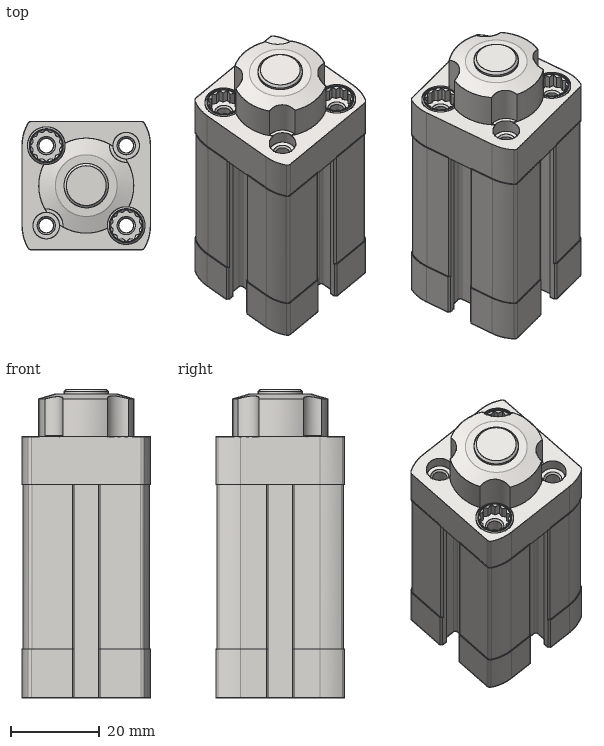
import cadquery as cq
import math

TOTAL_HEIGHT = 69.5
BASE_TOP = 11.0
HEAD_BOTTOM = 48.0
HEAD_TOP = 58.9
COLLAR_EDGE = 67.35
COLLAR_TOP = 68.45

OUTER_WIDTH = 29.0
TUBE_INSET = 0.2
CORNER_RADIUS = 10.0
CORNER_BLEND_RADIUS = 1.0

SLOT_MOUTH_WIDTH = 5.4
SLOT_CAVITY_WIDTH = 7.2
SLOT_LIP_DEPTH = 1.7
SLOT_DEPTH = 5.3
SLOT_FLOOR_RADIUS = 0.6
SLOT_LIP_RADIUS = 0.4

COLLAR_DIAMETER = 21.4
COLLAR_TOP_DIAMETER = 13.9
COUNTERBORE_RELIEF_DIAMETER = 7.5
RELIEF_LEDGE = 0.2

HOLE_EDGE_DISTANCE = 5.5
HOLE_OFFSET = OUTER_WIDTH / 2 - HOLE_EDGE_DISTANCE
BORE_DIAMETER = 3.3
BORE_CHAMFER_DIAMETER = 4.1
COUNTERBORE_DIAMETER = 6.0
COUNTERBORE_DEPTH = 3.05
COUNTERBORE_CORNERS = [(-1, -1), (1, 1)]
SCREW_CORNERS = [(-1, 1), (1, -1)]

SCREW_DIAMETER = 8.5
SCREW_EDGE_CHAMFER = 0.4
SOCKET_POINTS = 12
SOCKET_TIP_RADIUS = 3.6
SOCKET_ROOT_RADIUS = 3.05
SOCKET_DEPTH = 3.5
SOCKET_LEAD_IN_DEPTH = 0.35

ROD_DIAMETER = 10.0
ROD_TIP_DIAMETER = 9.0
ROD_BOTTOM = HEAD_BOTTOM


def outline_block(half_width, bottom, top):
    """Prism whose X-facing sides curve through a large arc and a small blend into the Y-facing sides."""
    arc_centre = OUTER_WIDTH / 2 - CORNER_RADIUS
    arc_radius = half_width - arc_centre
    arc_start_y = HOLE_OFFSET
    blend_y = half_width - CORNER_BLEND_RADIUS
    blend_angle = math.asin((blend_y - arc_start_y) / (arc_radius - CORNER_BLEND_RADIUS))
    blend_x = arc_centre + (arc_radius - CORNER_BLEND_RADIUS) * math.cos(blend_angle)

    def on_arc(angle):
        return (arc_centre + arc_radius * math.cos(angle), arc_start_y + arc_radius * math.sin(angle))

    def on_blend(angle):
        return (
            blend_x + CORNER_BLEND_RADIUS * math.cos(angle),
            blend_y + CORNER_BLEND_RADIUS * math.sin(angle),
        )

    quarter = (
        cq.Workplane("XY", origin=(0, 0, bottom))
        .lineTo(half_width, 0)
        .lineTo(half_width, arc_start_y)
        .threePointArc(on_arc(blend_angle / 2), on_arc(blend_angle))
        .threePointArc(on_blend((blend_angle + math.pi / 2) / 2), (blend_x, half_width))
        .lineTo(0, half_width)
        .close()
        .extrude(top - bottom)
    )
    half = quarter.union(quarter.mirror("YZ"))
    return half.union(half.mirror("XZ")).clean()


def slot_cutter(face, bottom, top):
    """T-slot with rounded lips, cut into the side at Y = -face."""
    height = top - bottom
    floor = SLOT_DEPTH - OUTER_WIDTH / 2
    lip_end = SLOT_LIP_DEPTH - OUTER_WIDTH / 2
    plane = cq.Workplane("XY", origin=(0, 0, bottom))
    cavity = (
        plane.center(0, (floor + lip_end) / 2)
        .rect(SLOT_CAVITY_WIDTH, floor - lip_end)
        .extrude(height)
        .edges("|Z and >Y")
        .fillet(SLOT_FLOOR_RADIUS)
    )
    half_mouth = SLOT_MOUTH_WIDTH / 2
    half_flare = half_mouth + SLOT_LIP_RADIUS
    lip_start = SLOT_LIP_RADIUS - face
    mouth = (
        plane.moveTo(-half_mouth, lip_end)
        .lineTo(-half_mouth, lip_start)
        .radiusArc((-half_flare, -face), -SLOT_LIP_RADIUS)
        .lineTo(half_flare, -face)
        .radiusArc((half_mouth, lip_start), -SLOT_LIP_RADIUS)
        .lineTo(half_mouth, lip_end)
        .close()
        .extrude(height)
    )
    return cavity.union(mouth)


def slotted_block(half_width, bottom, top):
    block = outline_block(half_width, bottom, top)
    cutter = slot_cutter(half_width, bottom, top)
    for angle in (0, 90, 180, 270):
        block = block.cut(cutter.rotate((0, 0, 0), (0, 0, 1), angle))
    return block


def cylinder(diameter, bottom, top, x=0, y=0):
    return cq.Workplane("XY", origin=(x, y, bottom)).circle(diameter / 2).extrude(top - bottom)


def revolved(profile):
    """Solid of revolution about Z from (radius, height) points."""
    return cq.Workplane("XZ").polyline(profile).close().revolve(360, (0, 0, 0), (0, 1, 0))


def make_collar():
    """Cone-topped collar, scalloped to clear the four corner holes."""
    radius = COLLAR_DIAMETER / 2
    collar = revolved([
        (0, HEAD_TOP),
        (radius, HEAD_TOP),
        (radius, COLLAR_EDGE),
        (COLLAR_TOP_DIAMETER / 2, COLLAR_TOP),
        (0, COLLAR_TOP),
    ])
    reliefs = [
        (COUNTERBORE_CORNERS, COUNTERBORE_RELIEF_DIAMETER, HEAD_TOP + RELIEF_LEDGE),
        (SCREW_CORNERS, SCREW_DIAMETER, HEAD_TOP),
    ]
    for corners, diameter, floor in reliefs:
        for sx, sy in corners:
            collar = collar.cut(cylinder(diameter, floor, COLLAR_TOP, sx * HOLE_OFFSET, sy * HOLE_OFFSET))
    return collar


def bore_cutter(shoulder):
    """Through bore with a 45 degree chamfer where it meets the shoulder."""
    bore_radius = BORE_DIAMETER / 2
    chamfer_radius = BORE_CHAMFER_DIAMETER / 2
    return revolved([
        (0, 0),
        (bore_radius, 0),
        (bore_radius, shoulder - (chamfer_radius - bore_radius)),
        (chamfer_radius, shoulder),
        (0, shoulder),
    ])


def counterbored_hole_cutter():
    shoulder = HEAD_TOP - COUNTERBORE_DEPTH
    counterbore = cylinder(COUNTERBORE_DIAMETER, shoulder, HEAD_TOP + RELIEF_LEDGE)
    return bore_cutter(shoulder).union(counterbore)


def socket_hole_cutter():
    """Twelve-point socket with a conical lead-in, a bevelled rim and a through bore."""
    floor = HEAD_TOP - SOCKET_DEPTH
    star_points = []
    for i in range(2 * SOCKET_POINTS):
        radius = SOCKET_ROOT_RADIUS if i % 2 else SOCKET_TIP_RADIUS
        angle = math.pi * i / SOCKET_POINTS
        star_points.append((radius * math.cos(angle), radius * math.sin(angle)))
    star = cq.Workplane("XY", origin=(0, 0, floor)).polyline(star_points).close().extrude(SOCKET_DEPTH)

    lead_in = revolved([
        (0, HEAD_TOP - SOCKET_LEAD_IN_DEPTH),
        (SOCKET_ROOT_RADIUS, HEAD_TOP - SOCKET_LEAD_IN_DEPTH),
        (SOCKET_TIP_RADIUS, HEAD_TOP),
        (0, HEAD_TOP),
    ])
    screw_radius = SCREW_DIAMETER / 2
    rim_bevel = revolved([
        (screw_radius, HEAD_TOP),
        (screw_radius, HEAD_TOP - SCREW_EDGE_CHAMFER),
        (screw_radius - SCREW_EDGE_CHAMFER, HEAD_TOP),
    ])
    return bore_cutter(floor).union(star).union(lead_in).union(rim_bevel)


def make_housing():
    """Slotted base and tube, plain head and collar, with corner holes and a blind rod bore."""
    half_width = OUTER_WIDTH / 2
    housing = (
        slotted_block(half_width, 0, BASE_TOP)
        .union(slotted_block(half_width - TUBE_INSET, BASE_TOP, HEAD_BOTTOM))
        .union(outline_block(half_width, HEAD_BOTTOM, HEAD_TOP))
        .union(make_collar())
    )
    hole_cutters = [
        (COUNTERBORE_CORNERS, counterbored_hole_cutter()),
        (SCREW_CORNERS, socket_hole_cutter()),
    ]
    for corners, cutter in hole_cutters:
        for sx, sy in corners:
            housing = housing.cut(cutter.translate((sx * HOLE_OFFSET, sy * HOLE_OFFSET, 0)))
    return housing.cut(cylinder(ROD_DIAMETER, ROD_BOTTOM, TOTAL_HEIGHT))


def make_rod():
    """Piston rod with a chamfered tip."""
    chamfer = (ROD_DIAMETER - ROD_TIP_DIAMETER) / 2
    return cylinder(ROD_DIAMETER, ROD_BOTTOM, TOTAL_HEIGHT).faces(">Z").chamfer(chamfer)


housing = make_housing()
rod = make_rod()

result = cq.Compound.makeCompound([housing.solids().val(), rod.val()])